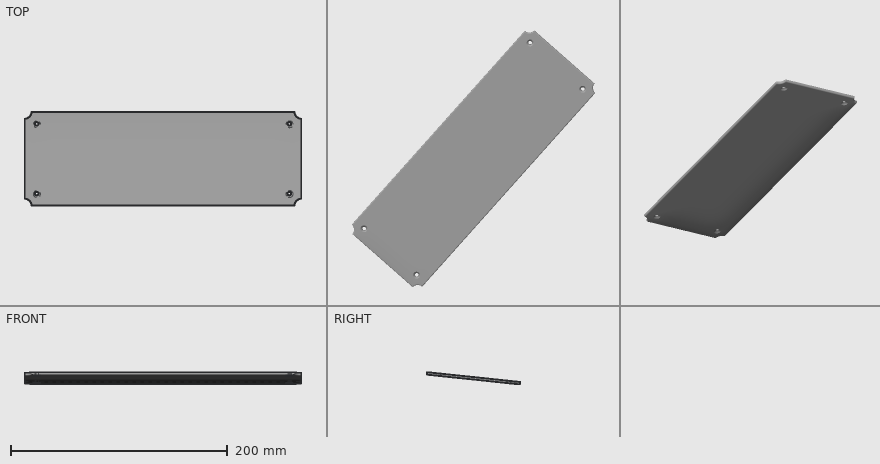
import cadquery as cq

length = 255.2
width = 86.73
thickness = 2.5
bottom_edge_radius = 1.0

notch_radius = 6.5
notch_center_offset = 0.25
notch_tip_radius = 0.5

hole_diameter = 3.2
hole_inset = 11.0
countersink_diameter = 2 * hole_diameter
countersink_angle = 90.0

tilt_angle = 6.0


def make_plate():
    """Flat plate with round corner notches and a rounded bottom edge."""
    plate = cq.Workplane("XY").box(length, width, thickness)
    notches = (
        cq.Workplane("XY")
        .rect(length + 2 * notch_center_offset, width + 2 * notch_center_offset, forConstruction=True)
        .vertices()
        .circle(notch_radius)
        .extrude(thickness, both=True)
    )
    plate = plate.cut(notches)
    plate = plate.edges("|Z").fillet(notch_tip_radius)
    return plate.faces("<Z").edges().fillet(bottom_edge_radius)


def add_screw_holes(plate):
    """Drill the four corner holes with countersinks on the underside."""
    spacing_x = length - 2 * hole_inset
    spacing_y = width - 2 * hole_inset
    return (
        plate.faces("<Z")
        .workplane(origin=(0, 0, 0))
        .rect(spacing_x, spacing_y, forConstruction=True)
        .vertices()
        .cskHole(hole_diameter, countersink_diameter, countersink_angle)
    )


flat_plate = add_screw_holes(make_plate())
result = flat_plate.rotate((0, 0, 0), (1, 0, 0), -tilt_angle)